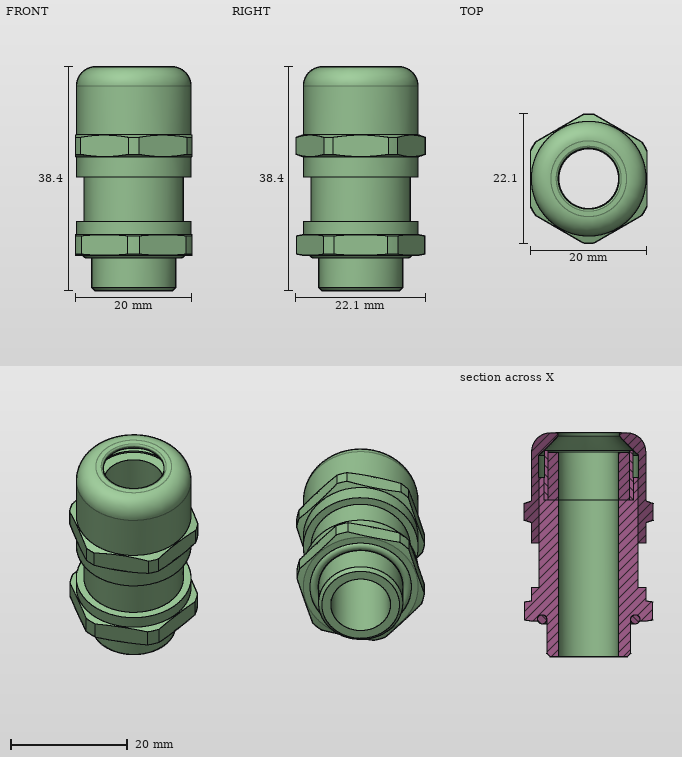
import cadquery as cq
import math


total_height = 38.38
across_flats = 20.0
collar_radius = 9.83
neck_radius = 8.52
bore_radius = 5.1

spigot_radius = 7.2
spigot_chamfer = 0.58
body_hex_bottom = 6.05
body_hex_top = 9.65
body_hex_corner_radius = 22.0 / 2
body_hex_chamfer_angle = 11.0
collar_top = 11.9
body_top = 30.7
socket_floor = 26.85

ring_section_radius = 0.75
ring_bottom = 5.6
ring_centre_radius = spigot_radius + ring_section_radius
ring_centre_z = ring_bottom + ring_section_radius

cap_bottom = 19.45
cap_hex_bottom = 22.9
cap_hex_top = 26.7
cap_hex_corner_radius = 22.15 / 2
cap_hex_chamfer_angle = 20.0
cap_round = 3.35
lip_radius = 5.22
lip_round = 0.35
lip_thickness = 0.6
lip_bottom = total_height - lip_thickness
cap_cone_bottom = lip_bottom - (neck_radius - lip_radius)

cage_top = 35.35
cage_radius = lip_radius + lip_bottom - cage_top
seal_top = 35.05
seal_radius = 6.95


def cylinder(radius, bottom, top):
    return cq.Workplane("XY").workplane(offset=bottom).circle(radius).extrude(top - bottom)


def tube(outer_radius, inner_radius, bottom, top):
    return cylinder(outer_radius, bottom, top).cut(cylinder(inner_radius, bottom, top))


def revolve_profile(profile):
    """Turn a closed (radius, z) profile drawn on XZ once around the Z axis."""
    return profile.close().revolve(360, (0, 0, 0), (0, 1, 0))


def chamfered_hexagon(bottom, top, corner_radius, chamfer_angle):
    """Hexagon with flats on +X and -X, turned corners, and both ends chamfered outside the collar."""
    corner_drop = (corner_radius - collar_radius) * math.tan(math.radians(chamfer_angle))
    prism = (
        cq.Workplane("XY").workplane(offset=bottom)
        .polygon(6, across_flats, circumscribed=True)
        .extrude(top - bottom)
    )
    turned_blank = revolve_profile(
        cq.Workplane("XZ")
        .moveTo(0, bottom)
        .lineTo(collar_radius, bottom)
        .lineTo(corner_radius, bottom + corner_drop)
        .lineTo(corner_radius, top - corner_drop)
        .lineTo(collar_radius, top)
        .lineTo(0, top)
    )
    return prism.intersect(turned_blank)


def sealing_ring_shape():
    return (
        cq.Workplane("XZ")
        .center(ring_centre_radius, ring_centre_z)
        .circle(ring_section_radius)
        .revolve(360, (-ring_centre_radius, 0, 0), (-ring_centre_radius, 1, 0))
    )


def make_body():
    spigot = cylinder(spigot_radius, 0, body_hex_bottom).faces("<Z").chamfer(spigot_chamfer)
    hexagon = chamfered_hexagon(
        body_hex_bottom, body_hex_top, body_hex_corner_radius, body_hex_chamfer_angle
    )
    collar = cylinder(collar_radius, body_hex_top, collar_top)
    neck = cylinder(neck_radius, collar_top, body_top)
    outside = spigot.union(hexagon).union(collar).union(neck)
    bore = cylinder(bore_radius, 0, socket_floor)
    socket = cylinder(cage_radius, socket_floor, body_top)
    return outside.cut(bore).cut(socket).cut(sealing_ring_shape())


def make_cap_nut():
    barrel = cylinder(collar_radius, cap_bottom, total_height).faces(">Z").edges().fillet(cap_round)
    hexagon = chamfered_hexagon(
        cap_hex_bottom, cap_hex_top, cap_hex_corner_radius, cap_hex_chamfer_angle
    )
    round_offset = lip_round * (1 - math.sqrt(0.5))
    cavity = revolve_profile(
        cq.Workplane("XZ")
        .moveTo(0, cap_bottom)
        .lineTo(neck_radius, cap_bottom)
        .lineTo(neck_radius, cap_cone_bottom)
        .lineTo(lip_radius, lip_bottom)
        .lineTo(lip_radius, total_height - lip_round)
        .threePointArc(
            (lip_radius + round_offset, total_height - round_offset),
            (lip_radius + lip_round, total_height),
        )
        .lineTo(0, total_height)
    )
    return barrel.union(hexagon).cut(cavity)


body = make_body()
sealing_ring = sealing_ring_shape()
cap_nut = make_cap_nut()
cage = tube(cage_radius, seal_radius, socket_floor, cage_top)
seal = tube(seal_radius, bore_radius, socket_floor, seal_top)

result = cq.Compound.makeCompound(
    [body.val(), sealing_ring.val(), cap_nut.val(), cage.val(), seal.val()]
)